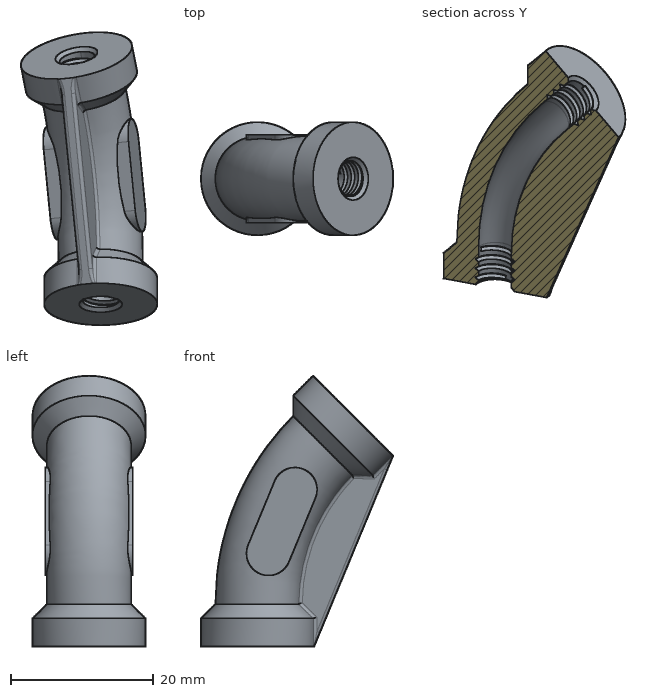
import cadquery as cq
import math

bend_angle = 45.0
leg_length = 19.0

collar_diameter = 15.9
collar_length = 3.95
tube_diameter = 11.87
cone_length = (collar_diameter - tube_diameter) / 2
straight_length = collar_length + cone_length
bend_radius = (leg_length - straight_length) / math.tan(math.radians(bend_angle / 2))

web_thickness = 1.98
web_rim_round = 0.5
web_root_fillet = 0.5
web_trim = 1.52

pad_width = 6.2
pad_center_spacing = 9.7
pad_inward_offset = 1.1
pad_half_span = 6.15

bore_diameter = 5.0
mouth_diameter = 6.0
countersink_depth = (mouth_diameter - bore_diameter) / 2

thread_pitch = 1.4
groove_width = 0.7
groove_depth = (mouth_diameter - bore_diameter) / 2
groove_overlap = 0.08
thread_start = 0.72
thread_length = straight_length - thread_start - groove_width
thread_start_angle = 77.0

tolerance = 0.005


def point_on_bend(angle, radius):
    """XZ point at an angle along the bend, at a radius from the bend center."""
    turn = math.radians(angle)
    return (bend_radius - radius * math.cos(turn), straight_length + radius * math.sin(turn))


def mirrored_point(point):
    """XZ point mirrored from the lower leg of the elbow to the upper leg."""
    rise = math.radians(bend_angle)
    x, z = point
    below_corner = leg_length - z
    return (
        x * math.cos(rise) + below_corner * math.sin(rise),
        leg_length - x * math.sin(rise) + below_corner * math.cos(rise),
    )


def to_upper_end(part):
    """Move a part from the lower end face to the upper one, turned to face outward."""
    rise = math.radians(bend_angle)
    end_x = leg_length * math.sin(rise)
    end_z = leg_length * (1 + math.cos(rise))
    flipped = part.rotate((0, 0, 0), (0, 1, 0), 180 + bend_angle)
    return flipped.translate((end_x, 0, end_z))


def bent_rod(diameter):
    """Round rod along the curved stretch of the axis."""
    bend_axis = (
        cq.Workplane("XZ")
        .moveTo(0, straight_length)
        .threePointArc(point_on_bend(bend_angle / 2, bend_radius), point_on_bend(bend_angle, bend_radius))
    )
    return cq.Workplane("XY", origin=(0, 0, straight_length)).circle(diameter / 2).sweep(bend_axis)


def make_collar():
    """Lower collar with its cone."""
    outline = [
        (0, 0),
        (collar_diameter / 2, 0),
        (collar_diameter / 2, collar_length),
        (tube_diameter / 2, straight_length),
        (0, straight_length),
    ]
    return cq.Workplane("XZ").polyline(outline).close().revolve(360, (0, 0, 0), (0, 1, 0))


def is_web_root(edge):
    """True for the edges where the sides of the web meet the tube and the collars."""
    on_web_side = math.isclose(abs(edge.Center().y), web_thickness / 2, abs_tol=tolerance)
    along_collar = math.isclose(edge.Length(), collar_length, abs_tol=tolerance)
    return on_web_side and (edge.geomType() != "LINE" or along_collar)


def is_web_rim(edge):
    """True for the two long straight edges along the outer face of the web."""
    on_web_side = math.isclose(abs(edge.Center().y), web_thickness / 2, abs_tol=tolerance)
    return on_web_side and edge.geomType() == "LINE" and edge.Length() > leg_length


def add_web(body):
    """Add the web, filleted to the body, trimmed to the inner collar corners and rounded."""
    collar_radius = collar_diameter / 2
    lower_wide = (collar_radius + web_trim, 0)
    plate = (
        cq.Workplane("XZ")
        .moveTo(0, straight_length)
        .lineTo(0, 0)
        .lineTo(*lower_wide)
        .lineTo(*mirrored_point(lower_wide))
        .lineTo(*mirrored_point((0, 0)))
        .lineTo(*point_on_bend(bend_angle, bend_radius))
        .threePointArc(point_on_bend(bend_angle / 2, bend_radius), (0, straight_length))
        .close()
        .extrude(web_thickness / 2, both=True)
    )
    body = body.union(plate)
    root_edges = [edge for edge in body.edges().vals() if is_web_root(edge)]
    body = body.newObject(root_edges).fillet(web_root_fillet)

    tilt = math.radians(bend_angle / 2)
    lower = (collar_radius, 0)
    lower_far = (collar_radius + web_trim * math.cos(tilt), -web_trim * math.sin(tilt))
    outside = (
        cq.Workplane("XZ")
        .polyline([lower, lower_far, mirrored_point(lower_far), mirrored_point(lower)])
        .close()
        .extrude(collar_radius, both=True)
    )
    body = body.cut(outside)
    rim_edges = [edge for edge in body.edges().vals() if is_web_rim(edge)]
    return body.newObject(rim_edges).fillet(web_rim_round)


def make_pads():
    """Slot-shaped bar across the tube whose ends stand out as the two pads."""
    center = point_on_bend(bend_angle / 2, bend_radius - pad_inward_offset)
    return (
        cq.Workplane("XZ")
        .center(*center)
        .slot2D(pad_center_spacing + pad_width, pad_width, 90 - bend_angle / 2)
        .extrude(pad_half_span, both=True)
    )


def make_bore_end():
    """Countersunk straight bore from the lower end face to the start of the bend."""
    outline = [
        (0, 0),
        (mouth_diameter / 2, 0),
        (bore_diameter / 2, countersink_depth),
        (bore_diameter / 2, straight_length),
        (0, straight_length),
    ]
    return cq.Workplane("XZ").polyline(outline).close().revolve(360, (0, 0, 0), (0, 1, 0))


def make_thread_groove():
    """Helical V groove in the wall of the lower bore, overlapping the bore a little."""
    root_radius = bore_diameter / 2 - groove_overlap
    crest_radius = bore_diameter / 2 + groove_depth
    half_width = groove_width / 2 * (1 + groove_overlap / groove_depth)
    helix = cq.Wire.makeHelix(thread_pitch, thread_length, root_radius)
    groove = (
        cq.Workplane("XZ")
        .polyline([(root_radius, -half_width), (crest_radius, 0), (root_radius, half_width)])
        .close()
        .sweep(cq.Workplane(helix), isFrenet=True)
    )
    return groove.rotate((0, 0, 0), (0, 0, 1), thread_start_angle).translate((0, 0, thread_start))


collar = make_collar()
groove = make_thread_groove()
bore_end = make_bore_end()

elbow = bent_rod(tube_diameter).union(collar).union(to_upper_end(collar))
result = (
    add_web(elbow)
    .union(make_pads())
    .cut(groove)
    .cut(to_upper_end(groove))
    .cut(bent_rod(bore_diameter))
    .cut(bore_end)
    .cut(to_upper_end(bore_end))
)